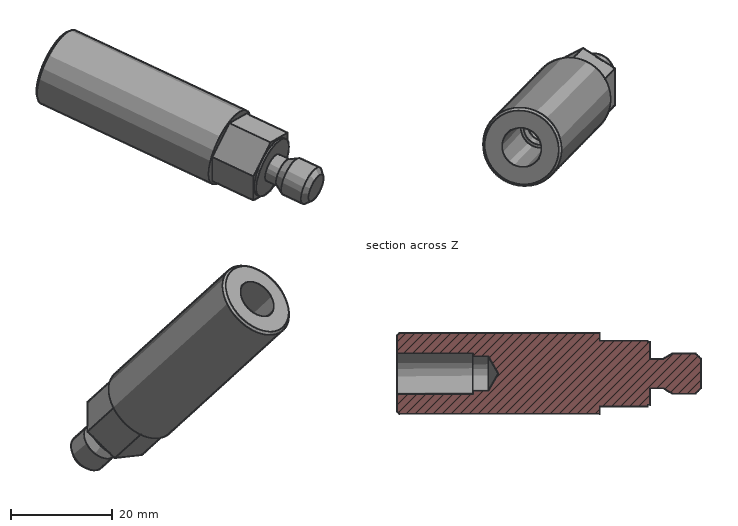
import cadquery as cq
import math

total_length = 60.0

body_diameter = 16.0
body_length = 40.0
body_chamfer = 0.5

hex_across_flats = 13.0
collar_diameter = 12.5
collar_thickness = 0.5
collar_end = 50.0
hex_end = collar_end - collar_thickness

stud_diameter = 8.0
neck_diameter = 5.8
neck_length = 2.5
flare_half_angle = 30.0
stud_step = (stud_diameter - neck_diameter) / 2
flare_length = stud_step / math.tan(math.radians(flare_half_angle))

bore_diameter = stud_diameter
bore_depth = 15.0
drill_diameter = 6.8
drill_depth = 18.0
drill_tip_half_angle = 60.0


def revolve_about_x(profile):
    """Revolve a closed (x, radius) profile about the X axis."""
    return cq.Workplane("XY").polyline(profile).close().revolve(360, (0, 0, 0), (1, 0, 0))


def cylinder_along_x(start, end, diameter):
    return cq.Workplane("YZ", origin=(start, 0, 0)).circle(diameter / 2).extrude(end - start)


def make_body():
    return cylinder_along_x(0, body_length, body_diameter).faces("<X").chamfer(body_chamfer)


def make_hexagon():
    across_corners = hex_across_flats / math.cos(math.radians(30))
    return (
        cq.Workplane("YZ", origin=(body_length, 0, 0))
        .transformed(rotate=(0, 0, 90))
        .polygon(6, across_corners)
        .extrude(hex_end - body_length)
    )


def make_stud():
    neck_radius = neck_diameter / 2
    stud_radius = stud_diameter / 2
    flare_start = collar_end + neck_length
    return revolve_about_x([
        (collar_end, 0),
        (collar_end, neck_radius),
        (flare_start, neck_radius),
        (flare_start + flare_length, stud_radius),
        (total_length - stud_step, stud_radius),
        (total_length, neck_radius),
        (total_length, 0),
    ])


def make_bore():
    bore_radius = bore_diameter / 2
    drill_radius = drill_diameter / 2
    tip_length = drill_radius / math.tan(math.radians(drill_tip_half_angle))
    return revolve_about_x([
        (0, 0),
        (0, bore_radius),
        (bore_depth, bore_radius),
        (bore_depth, drill_radius),
        (drill_depth, drill_radius),
        (drill_depth + tip_length, 0),
    ])


collar = cylinder_along_x(hex_end, collar_end, collar_diameter)
result = make_body().union(make_hexagon()).union(collar).union(make_stud()).cut(make_bore())